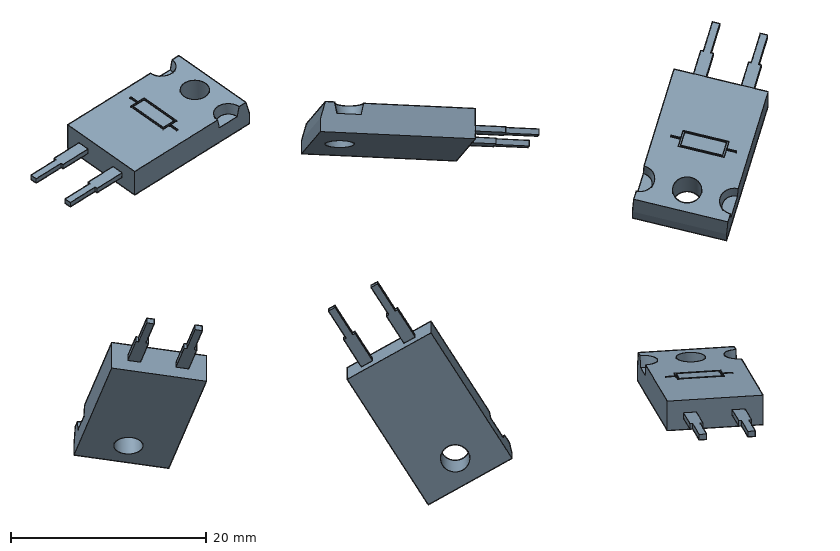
import cadquery as cq

total_length = 23.2
body_width = 10.0
body_length = 16.17
body_height = 3.2

bevel_setback = 0.5
bevel_start_height = 1.4

hole_diameter = 3.0
hole_from_rear = 3.0
notch_top_radius = 1.5
notch_floor_radius = 1.25
notch_depth = 1.2

lead_pitch = 5.08
lead_center_x = -0.1
lead_thickness = 0.6
lead_bottom_z = 1.23
lead_root_width = 1.35
lead_tip_width = 0.8

symbol_center_x = -0.2
symbol_from_rear = 8.58
symbol_length = 6.95
symbol_box_length = 4.87
symbol_box_width = 1.93
groove_width = 0.2
groove_depth = 0.2

lead_length = total_length - body_length
rear_y = total_length / 2
front_y = rear_y - body_length
hole_y = rear_y - hole_from_rear
symbol_y = rear_y - symbol_from_rear


def make_body():
    """Block with a sloped rear end, extruded across its width."""
    side_profile = [
        (front_y, 0),
        (rear_y, 0),
        (rear_y, bevel_start_height),
        (rear_y - bevel_setback, body_height),
        (front_y, body_height),
    ]
    return cq.Workplane("YZ").polyline(side_profile).close().extrude(body_width / 2, both=True)


def make_mounting_hole():
    return cq.Workplane("XY").center(0, hole_y).circle(hole_diameter / 2).extrude(body_height)


def make_notch(x):
    """Tapered round pocket, widest at the top face."""
    cone = cq.Solid.makeCone(
        notch_floor_radius,
        notch_top_radius,
        notch_depth,
        pnt=cq.Vector(x, hole_y, body_height - notch_depth),
    )
    return cq.Workplane(obj=cone)


def make_lead(x):
    """Flat lead whose outer half is narrower than its root; its inner half is buried in the body."""
    plane = cq.Workplane("XY").workplane(offset=lead_bottom_z).center(x, front_y)
    root = plane.rect(lead_root_width, lead_length).extrude(lead_thickness)
    tip = plane.rect(lead_tip_width, 2 * lead_length).extrude(lead_thickness)
    return root.union(tip)


def make_symbol():
    """Rectangular outline with a short line leaving each end."""
    plane = (
        cq.Workplane("XY")
        .workplane(offset=body_height - groove_depth)
        .center(symbol_center_x, symbol_y)
    )
    box = plane.rect(symbol_box_length, symbol_box_width).extrude(groove_depth)
    island = plane.rect(
        symbol_box_length - 2 * groove_width,
        symbol_box_width - 2 * groove_width,
    ).extrude(groove_depth)
    line = plane.rect(symbol_length, groove_width).extrude(groove_depth)
    return box.union(line).cut(island)


result = make_body()
for side in (-1, 1):
    result = result.union(make_lead(lead_center_x + side * lead_pitch / 2))
    result = result.cut(make_notch(side * body_width / 2))
result = result.cut(make_mounting_hole()).cut(make_symbol())